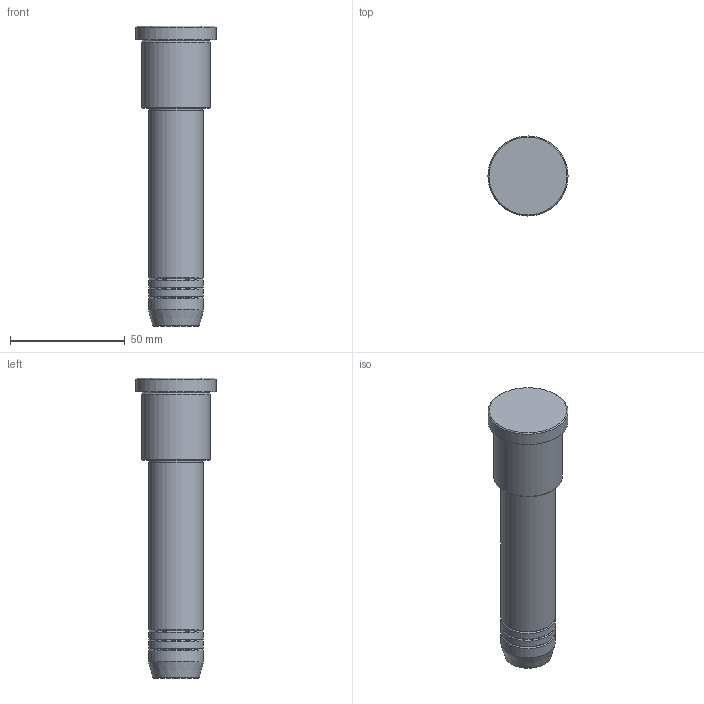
import cadquery as cq
import math

total_length = 131.0

head_diameter = 35.0
head_thickness = 6.0
head_chamfer = 0.5

shank_diameter = 30.0
shank_length = 30.0
shank_chamfer = 0.5

pin_diameter = 24.0
relief_width = 1.0
relief_depth = 0.5

vee_width = 1.0
vee_depth = vee_width / 2
tip_groove_count = 3
tip_groove_pitch = 4.0
lowest_groove_bottom = 12.0

tip_length = 7.0
tip_angle = math.radians(15.0)
tip_fillet = 0.5

head_radius = head_diameter / 2
shank_radius = shank_diameter / 2
pin_radius = pin_diameter / 2
tip_radius = pin_radius - tip_length * math.tan(tip_angle)
head_bottom = total_length - head_thickness
shank_bottom = head_bottom - shank_length


def disc(radius, bottom, height):
    """Cylinder on the Z axis, starting at the given level."""
    return cq.Workplane("XY").workplane(offset=bottom).circle(radius).extrude(height)


def revolved(profile):
    """Solid of revolution about the Z axis from (radius, level) points."""
    return cq.Workplane("XZ").polyline(profile).close().revolve(360, (0, 0, 0), (0, 1, 0))


def vee_ring(outer_radius, bottom):
    """Ring of triangular section that cuts a V groove into a cylinder."""
    return revolved([
        (outer_radius, bottom),
        (outer_radius - vee_depth, bottom + vee_width / 2),
        (outer_radius, bottom + vee_width),
    ])


def make_head():
    head = disc(head_radius, head_bottom, head_thickness)
    return head.faces(">Z").edges().chamfer(head_chamfer)


def make_shank():
    shank = disc(shank_radius, shank_bottom, shank_length)
    shank = shank.faces("<Z").edges().chamfer(shank_chamfer)
    return shank.cut(vee_ring(shank_radius, head_bottom - vee_width))


def make_pin():
    pin_top = shank_bottom - relief_width
    pin = disc(pin_radius, tip_length, pin_top - tip_length)
    for index in range(tip_groove_count):
        pin = pin.cut(vee_ring(pin_radius, lowest_groove_bottom + index * tip_groove_pitch))
    return pin.union(disc(pin_radius - relief_depth, pin_top, relief_width))


def make_tip():
    tip = revolved([(0, 0), (tip_radius, 0), (pin_radius, tip_length), (0, tip_length)])
    return tip.faces("<Z").edges().fillet(tip_fillet)


result = make_head().union(make_shank()).union(make_pin()).union(make_tip())